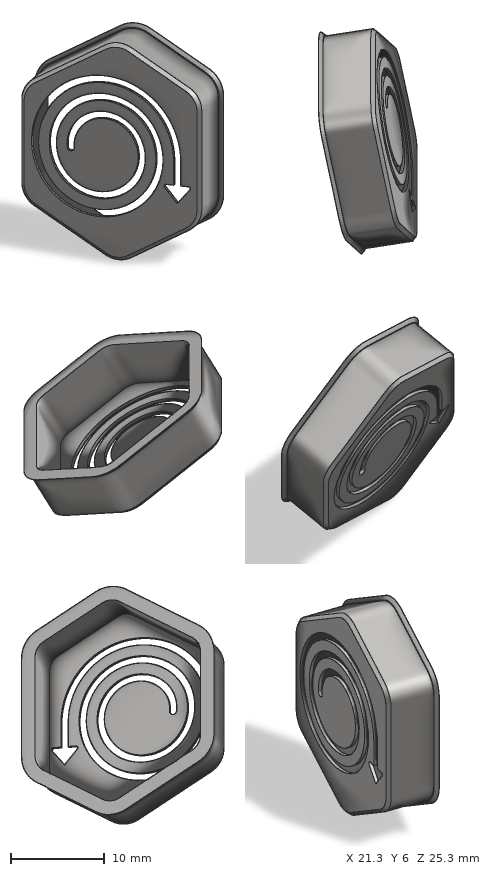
import cadquery as cq
import math

DEPTH = 6.0
PLATE_THICKNESS = 0.4
WALL_THICKNESS = 1.0
FRONT_CHAMFER = 0.4

LIP_HEIGHT = 0.4
LIP_STEP = 0.1
LIP_OVERHANG = LIP_HEIGHT + LIP_STEP

LIP_APOTHEM = 11.4
LIP_CORNER_RADIUS = 3.4
FLAT_SHIFT = 1.5
HALF_SIDE_ANGLE = math.pi / 6
HEXAGON_CENTRE_X = FLAT_SHIFT / 2

SLOT_WIDTH = 0.8
SPIRAL_CENTRE_X = -1.0
SPIRAL_START_RADIUS = 3.5
SPIRAL_PITCH = 2.0
SPIRAL_TURNS = 2.5
SPIRAL_START_ANGLE = math.pi
SPIRAL_SPLINE_POINTS = 120
ARROW_BASE_Z = -3.0
ARROW_LENGTH = 2.0
ARROW_HALF_WIDTH = 1.7
ARROW_CORNER_RADIUS = 0.2


def hexagon_prism(inset, front_y, back_y):
    """Rounded hexagon prism whose outline lies `inset` inside the lip outline."""
    apothem = LIP_APOTHEM - inset
    left_x = HEXAGON_CENTRE_X - apothem
    right_x = HEXAGON_CENTRE_X + apothem - FLAT_SHIFT
    slope = math.tan(HALF_SIDE_ANGLE)
    apex_z = apothem / math.cos(HALF_SIDE_ANGLE)
    left_z = apex_z - apothem * slope
    right_z = apex_z - (apothem - FLAT_SHIFT) * slope
    corners = [
        (HEXAGON_CENTRE_X, apex_z),
        (right_x, right_z),
        (right_x, -right_z),
        (HEXAGON_CENTRE_X, -apex_z),
        (left_x, -left_z),
        (left_x, left_z),
    ]
    return (
        cq.Workplane("XZ", origin=(0, front_y, 0))
        .polyline(corners)
        .close()
        .extrude(front_y - back_y)
        .edges("|Y")
        .fillet(LIP_CORNER_RADIUS - inset)
    )


def make_shell():
    """Body with chamfered front, flared lip and a pocket open at the back."""
    body = hexagon_prism(LIP_OVERHANG, 0, DEPTH).faces("<Y").chamfer(FRONT_CHAMFER)
    lip = hexagon_prism(0, DEPTH - LIP_HEIGHT, DEPTH + LIP_HEIGHT).faces("<Y").chamfer(LIP_HEIGHT)
    lip = lip.intersect(hexagon_prism(0, 0, DEPTH))
    pocket = hexagon_prism(LIP_OVERHANG + WALL_THICKNESS, PLATE_THICKNESS, DEPTH)
    return body.union(lip).cut(pocket)


def spiral_point(turns, radial_offset):
    """Point on the clockwise Archimedean spiral, shifted radially."""
    radius = SPIRAL_START_RADIUS + SPIRAL_PITCH * turns + radial_offset
    angle = SPIRAL_START_ANGLE - 2 * math.pi * turns
    return (SPIRAL_CENTRE_X + radius * math.cos(angle), radius * math.sin(angle))


def spiral_edge(radial_offset):
    """Spline along one side of the spiral slot."""
    curve = cq.Workplane("XZ").parametricCurve(
        lambda t: (*spiral_point(t * SPIRAL_TURNS, radial_offset), 0),
        N=SPIRAL_SPLINE_POINTS,
        makeWire=False,
    )
    return curve.val()


def make_spiral():
    """Spiral slot cutter with a round inner end."""
    half_width = SLOT_WIDTH / 2
    inner_edge = spiral_edge(-half_width)
    outer_edge = spiral_edge(half_width)
    start_x, start_z = spiral_point(0, 0)
    cap_bottom = cq.Vector(start_x, 0, start_z - half_width)
    cap = cq.Edge.makeThreePointArc(inner_edge.startPoint(), cap_bottom, outer_edge.startPoint())
    end = cq.Edge.makeLine(inner_edge.endPoint(), outer_edge.endPoint())
    outline = cq.Wire.assembleEdges([inner_edge, end, outer_edge, cap])
    return cq.Workplane(cq.Solid.extrudeLinear(outline, [], cq.Vector(0, PLATE_THICKNESS, 0)))


def make_arrow():
    """Straight shaft from the spiral's outer end, and the arrowhead below it."""
    shaft_x, shaft_top_z = spiral_point(SPIRAL_TURNS, 0)
    shaft_length = shaft_top_z - ARROW_BASE_Z
    shaft = (
        cq.Workplane("XZ")
        .center(shaft_x, shaft_top_z - shaft_length / 2)
        .rect(SLOT_WIDTH, shaft_length)
        .extrude(-PLATE_THICKNESS)
    )
    head = (
        cq.Workplane("XZ")
        .center(shaft_x, ARROW_BASE_Z)
        .polyline([(-ARROW_HALF_WIDTH, 0), (ARROW_HALF_WIDTH, 0), (0, -ARROW_LENGTH)])
        .close()
        .extrude(-PLATE_THICKNESS)
        .edges("|Y and (<X or >X)")
        .fillet(ARROW_CORNER_RADIUS)
    )
    return shaft.union(head)


result = make_shell().cut(make_spiral()).cut(make_arrow())